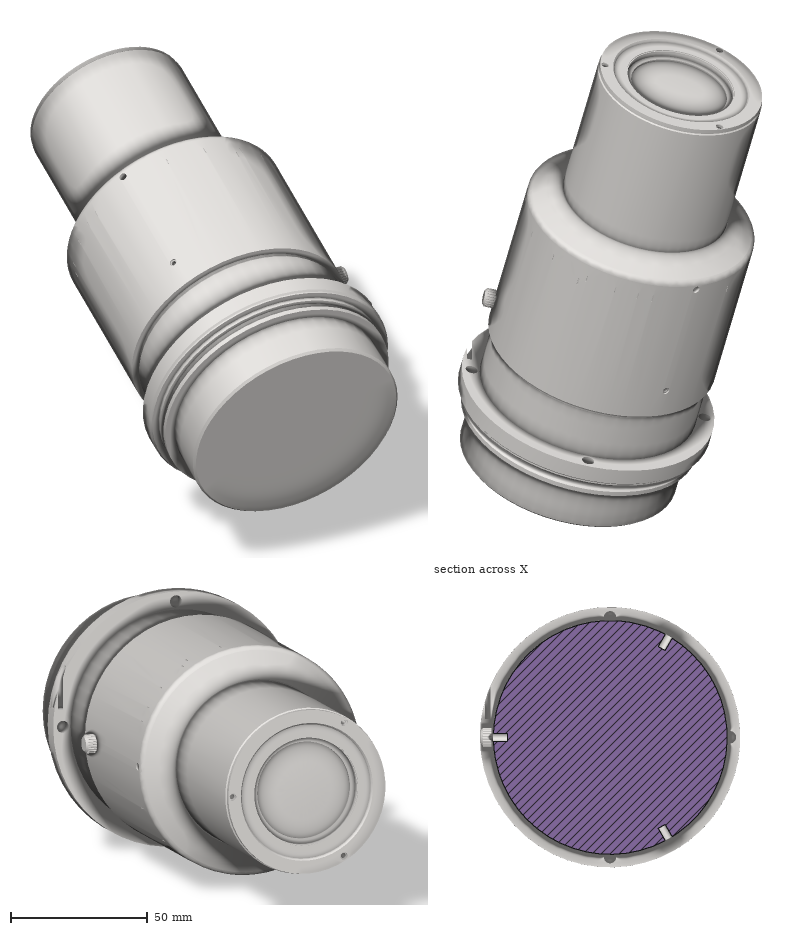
import cadquery as cq
import math

TOTAL_LENGTH = 174.0

LIP_DIAMETER = 61.2
LIP_LENGTH = 1.7
BARREL_DIAMETER = 62.1
BARREL_END = 55.5
BARREL_CHAMFER = (BARREL_DIAMETER - LIP_DIAMETER) / 2

HOUSING_DIAMETER = 86.0
CONE_BASE_DIAMETER = 63.0
CONE_END = 60.9
HOUSING_END = 121.6
SHOULDER_FILLET = 2.5

NECK_DIAMETER = 80.7
NECK_LENGTH = 1.0
TUBE_DIAMETER = 82.0
NECK_TAPER_LENGTH = 1.0
TUBE_END_CHAMFER = 0.9

FLANGE_DIAMETER = 95.5
FLANGE_START = 142.7
FLANGE_THICKNESS = 6.1
FLANGE_STEP_DIAMETER = 94.3
FLANGE_STEP_LENGTH = 1.2
RING_DIAMETER = 89.5
RING_FRONT_LENGTH = 1.5
GROOVE_DIAMETER = 86.3
GROOVE_LENGTH = 1.5
RING_REAR_LENGTH = 1.7
GROOVE_FLANK = (RING_DIAMETER - GROOVE_DIAMETER) / 2

FRONT_RECESS_DIAMETER = 51.5
FRONT_RECESS_FLOOR_DIAMETER = 50.1
FRONT_RECESS_DEPTH = 1.0
LENS_SEAT_DIAMETER = 40.7
LENS_SEAT_STEP_DEPTH = 1.4
LENS_SEAT_INNER_DIAMETER = 40.0
LENS_SEAT_DEPTH = 3.7
LENS_DIAMETER = 36.2
LENS_RIM_DEPTH = 4.5
LENS_APEX_DEPTH = 3.8

FRONT_HOLE_PITCH_RADIUS = 28.9
FRONT_HOLE_DIAMETER = 2.8
FRONT_HOLE_DEPTH = 0.7
FRONT_SOCKET_DIAMETER = 2.0
FRONT_SOCKET_DEPTH = 1.7

RADIAL_HOLE_DIAMETER = 2.8
SHOULDER_HOLE_X = 64.2
SHOULDER_HOLE_DEPTH = 5.2
GRUB_RECESS_DEPTH = 0.5
GRUB_SOCKET_DIAMETER = 1.7
GRUB_SOCKET_DEPTH = 1.7

SCALE_EDGE_X = 69.6
TICK_LENGTH = 2.6
TICK_WIDTH = 0.3
INDEX_LENGTH = 2.8
INDEX_WIDTH = 0.5
ENGRAVING_DEPTH = 0.2
TICK_ANGLES = [-37.4, -17.3, 4.0, 19.0, 30.5, 38.0]

FLANGE_HOLE_DIAMETER = 4.5
FLANGE_HOLE_PITCH_RADIUS = 44.0
FLANGE_HOLE_DEPTH = 3.5
NOTCH_DIAMETER = 5.5
NOTCH_X = 145.3
NOTCH_Y = 44.9
NOTCH_FLOOR_Z = 6.6

SCREW_X = 110.3
SCREW_SHANK_DIAMETER = 3.0
SCREW_SHANK_DEPTH = 5.2
KNOB_DIAMETER = 7.0
KNOB_BASE_Y = 43.5
KNOB_HEIGHT = 4.0
KNOB_CHAMFER = 0.9
KNURL_COUNT = 20
KNURL_DIAMETER = 0.5

HOUSING_RADIUS = HOUSING_DIAMETER / 2
FLANGE_CHAMFER = (FLANGE_DIAMETER - FLANGE_STEP_DIAMETER) / 2
FLANGE_END = FLANGE_START + FLANGE_THICKNESS
FLANGE_STEP_END = FLANGE_END + FLANGE_STEP_LENGTH
GROOVE_START = FLANGE_STEP_END + RING_FRONT_LENGTH
GROOVE_END = GROOVE_START + GROOVE_LENGTH
RING_REAR_START = GROOVE_END + GROOVE_FLANK
RING_END = RING_REAR_START + RING_REAR_LENGTH

INDEX_ANGLES = [0, 120, 240]
SCREW_ANGLE = 180
GRUB_ANGLES = [SCREW_ANGLE + 120, SCREW_ANGLE + 240]
SCREW_HOLE_ANGLES = [SCREW_ANGLE] + GRUB_ANGLES
FLANGE_HOLE_ANGLES = [0, 90, 180, 270]


def radial_direction(angle):
    return cq.Vector(0, -math.cos(math.radians(angle)), math.sin(math.radians(angle)))


def axial_cylinder(diameter, x_start, depth, pitch_radius, angle):
    """Cylinder running along +X from x_start, centred on a pitch circle."""
    base = radial_direction(angle) * pitch_radius + cq.Vector(x_start, 0, 0)
    return cq.Solid.makeCylinder(diameter / 2, depth, base, cq.Vector(1, 0, 0))


def radial_hole(diameter, x, depth, angle):
    """Cutter for a hole sunk into the housing, reaching one unit above its surface."""
    outward = radial_direction(angle)
    clearance = 1.7
    base = outward * (HOUSING_RADIUS + clearance) + cq.Vector(x, 0, 0)
    return cq.Solid.makeCylinder(diameter / 2, depth + clearance, base, outward * -1)


def engraved_line(x_start, length, width, angle):
    """Cutter for an axial line engraved in the housing surface."""
    height = 2 * ENGRAVING_DEPTH
    line = cq.Workplane("XY").box(length, height, width)
    line = line.translate((x_start + length / 2, -HOUSING_RADIUS, 0))
    return line.rotate((0, 0, 0), (1, 0, 0), -angle).val()


def make_outer_body():
    """Revolve the outside profile, listed as (x, radius) corners."""
    corners = [
        (0, 0),
        (0, LIP_DIAMETER / 2),
        (LIP_LENGTH, LIP_DIAMETER / 2),
        (LIP_LENGTH + BARREL_CHAMFER, BARREL_DIAMETER / 2),
        (BARREL_END, BARREL_DIAMETER / 2),
        (BARREL_END, CONE_BASE_DIAMETER / 2),
        (CONE_END, HOUSING_RADIUS),
        (HOUSING_END, HOUSING_RADIUS),
        (HOUSING_END, NECK_DIAMETER / 2),
        (HOUSING_END + NECK_LENGTH, NECK_DIAMETER / 2),
        (HOUSING_END + NECK_LENGTH + NECK_TAPER_LENGTH, TUBE_DIAMETER / 2),
        (FLANGE_START, TUBE_DIAMETER / 2),
        (FLANGE_START, FLANGE_DIAMETER / 2),
        (FLANGE_END, FLANGE_DIAMETER / 2),
        (FLANGE_END + FLANGE_CHAMFER, FLANGE_STEP_DIAMETER / 2),
        (FLANGE_STEP_END, FLANGE_STEP_DIAMETER / 2),
        (FLANGE_STEP_END, RING_DIAMETER / 2),
        (GROOVE_START, RING_DIAMETER / 2),
        (GROOVE_START, GROOVE_DIAMETER / 2),
        (GROOVE_END, GROOVE_DIAMETER / 2),
        (RING_REAR_START, RING_DIAMETER / 2),
        (RING_END, RING_DIAMETER / 2),
        (RING_END, TUBE_DIAMETER / 2),
        (TOTAL_LENGTH - TUBE_END_CHAMFER, TUBE_DIAMETER / 2),
        (TOTAL_LENGTH, TUBE_DIAMETER / 2 - TUBE_END_CHAMFER),
        (TOTAL_LENGTH, 0),
    ]
    body = cq.Workplane("XY").polyline(corners).close().revolve(360, (0, 0, 0), (1, 0, 0))
    margin = 0.2
    shoulder_edge = cq.selectors.BoxSelector(
        (CONE_END - margin, -HOUSING_DIAMETER, -HOUSING_DIAMETER),
        (CONE_END + margin, HOUSING_DIAMETER, HOUSING_DIAMETER),
    )
    return body.edges(shoulder_edge).fillet(SHOULDER_FILLET)


def make_lens_recess():
    """Stepped recess in the front face, ending in the domed lens surface."""
    sag = LENS_RIM_DEPTH - LENS_APEX_DEPTH
    rim_radius = LENS_DIAMETER / 2
    dome_radius = (rim_radius**2 + sag**2) / (2 * sag)
    half_angle = math.asin(rim_radius / dome_radius) / 2
    dome_middle = (
        LENS_APEX_DEPTH + dome_radius * (1 - math.cos(half_angle)),
        dome_radius * math.sin(half_angle),
    )
    return (
        cq.Workplane("XY")
        .moveTo(0, 0)
        .lineTo(0, FRONT_RECESS_DIAMETER / 2)
        .lineTo(FRONT_RECESS_DEPTH, FRONT_RECESS_FLOOR_DIAMETER / 2)
        .lineTo(FRONT_RECESS_DEPTH, LENS_SEAT_DIAMETER / 2)
        .lineTo(LENS_SEAT_STEP_DEPTH, LENS_SEAT_DIAMETER / 2)
        .lineTo(LENS_SEAT_STEP_DEPTH, LENS_SEAT_INNER_DIAMETER / 2)
        .lineTo(LENS_SEAT_DEPTH, LENS_SEAT_INNER_DIAMETER / 2)
        .lineTo(LENS_SEAT_DEPTH, LENS_DIAMETER / 2)
        .lineTo(LENS_RIM_DEPTH, LENS_DIAMETER / 2)
        .threePointArc(dome_middle, (LENS_APEX_DEPTH, 0))
        .close()
        .revolve(360, (0, 0, 0), (1, 0, 0))
    )


def make_front_holes():
    """Stepped axial screw holes in the front face."""
    steps = [(FRONT_HOLE_DIAMETER, FRONT_HOLE_DEPTH), (FRONT_SOCKET_DIAMETER, FRONT_SOCKET_DEPTH)]
    return [
        axial_cylinder(diameter, 0, depth, FRONT_HOLE_PITCH_RADIUS, angle)
        for angle in SCREW_HOLE_ANGLES
        for diameter, depth in steps
    ]


def make_radial_holes():
    """Holes behind the shoulder, and stepped holes level with the lock screw."""
    holes = []
    for angle in SCREW_HOLE_ANGLES:
        holes.append(radial_hole(RADIAL_HOLE_DIAMETER, SHOULDER_HOLE_X, SHOULDER_HOLE_DEPTH, angle))
    for angle in GRUB_ANGLES:
        holes.append(radial_hole(RADIAL_HOLE_DIAMETER, SCREW_X, GRUB_RECESS_DEPTH, angle))
        holes.append(radial_hole(GRUB_SOCKET_DIAMETER, SCREW_X, GRUB_SOCKET_DEPTH, angle))
    return holes


def make_scale_engraving():
    """Distance ticks ahead of the scale edge and one index mark behind it, three times round."""
    lines = []
    for index_angle in INDEX_ANGLES:
        lines.append(engraved_line(SCALE_EDGE_X, INDEX_LENGTH, INDEX_WIDTH, index_angle))
        for tick_angle in TICK_ANGLES:
            tick_start = SCALE_EDGE_X - TICK_LENGTH
            lines.append(engraved_line(tick_start, TICK_LENGTH, TICK_WIDTH, index_angle + tick_angle))
    return lines


def make_flange_cutters():
    """Blind holes in the front of the flange, and the round notch through its rim."""
    cutters = [
        axial_cylinder(FLANGE_HOLE_DIAMETER, FLANGE_START, FLANGE_HOLE_DEPTH, FLANGE_HOLE_PITCH_RADIUS, angle)
        for angle in FLANGE_HOLE_ANGLES
    ]
    notch_base = cq.Vector(NOTCH_X, NOTCH_Y, NOTCH_FLOOR_Z)
    notch_height = FLANGE_DIAMETER / 2 - NOTCH_FLOOR_Z
    cutters.append(cq.Solid.makeCylinder(NOTCH_DIAMETER / 2, notch_height, notch_base))
    return cutters


def make_housing():
    cutters = (
        make_front_holes()
        + make_radial_holes()
        + make_scale_engraving()
        + make_flange_cutters()
        + [radial_hole(SCREW_SHANK_DIAMETER, SCREW_X, SCREW_SHANK_DEPTH, SCREW_ANGLE)]
    )
    body = make_outer_body().cut(make_lens_recess())
    return cq.Workplane(body.val().cut(*cutters))


def make_lock_screw():
    """Fluted knob on a plain shank that fills its hole in the housing, along +Y."""
    knob = cq.Workplane("XY").circle(KNOB_DIAMETER / 2).extrude(KNOB_HEIGHT)
    knob = knob.faces(">Z").chamfer(KNOB_CHAMFER)
    flutes = (
        cq.Workplane("XY")
        .polarArray(KNOB_DIAMETER / 2, 0, 360, KNURL_COUNT)
        .circle(KNURL_DIAMETER / 2)
        .extrude(KNOB_HEIGHT)
    )
    shank_length = KNOB_BASE_Y - HOUSING_RADIUS + SCREW_SHANK_DEPTH
    shank = cq.Workplane("XY").circle(SCREW_SHANK_DIAMETER / 2).extrude(-shank_length)
    screw = knob.cut(flutes).union(shank)
    return screw.rotate((0, 0, 0), (1, 0, 0), -90).translate((SCREW_X, KNOB_BASE_Y, 0))


housing = make_housing()
lock_screw = make_lock_screw()

result = cq.Compound.makeCompound([housing.val(), lock_screw.val()])